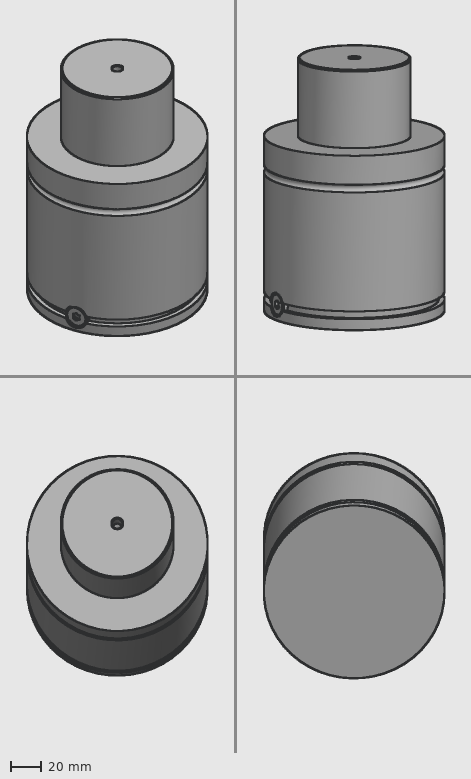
import cadquery as cq
import math

total_height = 172.0
body_radius = 120.0 / 2
body_height = 118.9
rod_radius = 75.0 / 2
rod_chamfer = 1.0

round_groove_z = 96.5
round_groove_radius = 2.5

square_groove_bottom = 7.5
square_groove_top = 12.9
square_groove_depth = 4.0
square_groove_floor = body_radius - square_groove_depth

rod_hole_radius = 6.9 / 2
rod_hole_mouth_radius = 7.9 / 2
rod_hole_depth = 13.8
drill_point_angle = 118.0

plug_z = 10.5
plug_radius = 16.0 / 2
plug_face_radius = 14.0 / 2
plug_bore_depth = 4.6
plug_flange_recess = 1.5
plug_face_recess = 0.7
hex_across_flats = 5.0
hex_depth = 2.5


def make_cylinder_body():
    """Revolve the body and piston rod, including both body grooves."""
    return (
        cq.Workplane("XZ")
        .lineTo(body_radius, 0)
        .lineTo(body_radius, square_groove_bottom)
        .lineTo(square_groove_floor, square_groove_bottom)
        .lineTo(square_groove_floor, square_groove_top)
        .lineTo(body_radius, square_groove_top)
        .lineTo(body_radius, round_groove_z - round_groove_radius)
        .threePointArc(
            (body_radius - round_groove_radius, round_groove_z),
            (body_radius, round_groove_z + round_groove_radius),
        )
        .lineTo(body_radius, body_height)
        .lineTo(rod_radius, body_height)
        .lineTo(rod_radius, total_height - rod_chamfer)
        .lineTo(rod_radius - rod_chamfer, total_height)
        .lineTo(0, total_height)
        .close()
        .revolve(360, (0, 0, 0), (0, 1, 0))
    )


def make_rod_hole():
    """Blind hole with a 45 degree countersunk mouth and a conical drill point."""
    mouth_depth = rod_hole_mouth_radius - rod_hole_radius
    hole_bottom = total_height - rod_hole_depth
    point_height = rod_hole_radius / math.tan(math.radians(drill_point_angle / 2))
    return (
        cq.Workplane("XZ")
        .moveTo(0, total_height)
        .lineTo(rod_hole_mouth_radius, total_height)
        .lineTo(rod_hole_radius, total_height - mouth_depth)
        .lineTo(rod_hole_radius, hole_bottom)
        .lineTo(0, hole_bottom - point_height)
        .close()
        .revolve(360, (0, 0, 0), (0, 1, 0))
    )


def plug_plane(depth):
    """Plane facing -Y, centred on the plug, at a depth below the body surface."""
    return cq.Workplane("XZ", origin=(0, depth - body_radius, plug_z))


def add_plug(body):
    """Sink a bore into the body and fill it with a stepped hex-socket plug."""
    bore = plug_plane(plug_bore_depth).circle(plug_radius).extrude(plug_bore_depth)
    flange = (
        plug_plane(plug_bore_depth)
        .circle(plug_radius)
        .extrude(plug_bore_depth - plug_flange_recess)
    )
    head = (
        plug_plane(plug_bore_depth)
        .circle(plug_face_radius)
        .extrude(plug_bore_depth - plug_face_recess)
    )
    hex_across_corners = hex_across_flats / math.cos(math.pi / 6)
    socket = (
        plug_plane(plug_face_recess)
        .transformed(rotate=(0, 0, 90))
        .polygon(6, hex_across_corners)
        .extrude(-hex_depth)
    )
    return body.cut(bore).union(flange).union(head).cut(socket)


result = add_plug(make_cylinder_body().cut(make_rod_hole()))